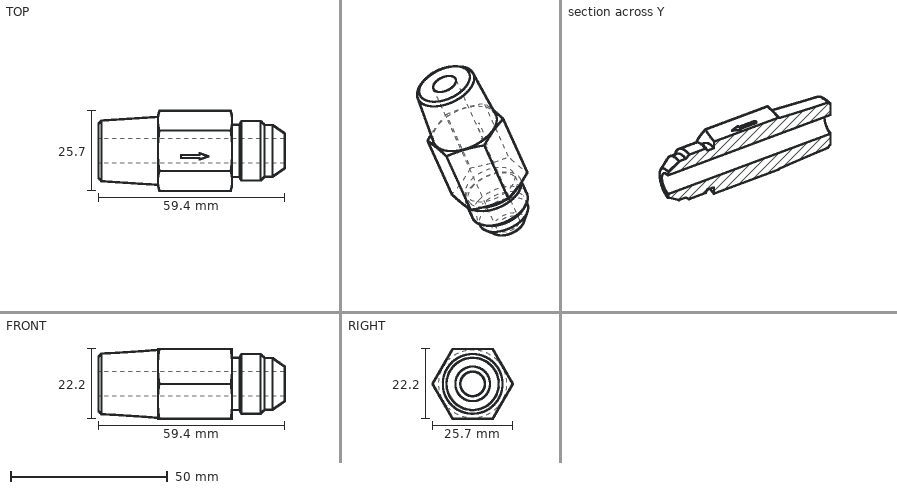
import cadquery as cq
import math

LENGTH = 59.44
TAPER_CHAMFER_END = 1.0
TAPER_END = 18.7
HEX_START = 18.95
HEX_END = 42.65
THREAD_START = 45.0
THREAD_FULL = 45.6
THREAD_END = 51.7
NOSE_START = 52.95
CONE_START = 55.45

TAPER_FACE_DIAMETER = 17.2
TAPER_SMALL_DIAMETER = 19.4
TAPER_LARGE_DIAMETER = 21.7
NECK_DIAMETER = 16.76
THREAD_DIAMETER = 19.05
NOSE_DIAMETER = 16.61
NOSE_TIP_DIAMETER = 11.05
BORE_DIAMETER = 7.77

ACROSS_FLATS = 22.225
ACROSS_CORNERS = ACROSS_FLATS / math.cos(math.radians(30))
HEX_CHAMFER_ANGLE = 15
HEX_CHAMFER_DIAMETER = 22.0

ARROW_START = 26.3
ARROW_HEAD_START = 32.3
ARROW_TIP = 35.1
ARROW_CENTRE_Y = -1.75
ARROW_SHAFT_WIDTH = 0.95
ARROW_HEAD_WIDTH = 2.0
ARROW_DEPTH = 0.1


def revolve_about_x(profile):
    """Revolve (x, diameter) stations into a solid closed along the X axis."""
    outline = [(x, diameter / 2) for x, diameter in profile]
    start_on_axis = (outline[0][0], 0)
    end_on_axis = (outline[-1][0], 0)
    return (
        cq.Workplane("XY")
        .polyline([start_on_axis] + outline + [end_on_axis])
        .close()
        .revolve(360, (0, 0, 0), (1, 0, 0))
    )


def tapered_end():
    return revolve_about_x([
        (0, TAPER_FACE_DIAMETER),
        (TAPER_CHAMFER_END, TAPER_SMALL_DIAMETER),
        (TAPER_END, TAPER_LARGE_DIAMETER),
        (HEX_START, TAPER_LARGE_DIAMETER),
    ])


def flared_end():
    return revolve_about_x([
        (HEX_END, NECK_DIAMETER),
        (THREAD_START, NECK_DIAMETER),
        (THREAD_FULL, THREAD_DIAMETER),
        (THREAD_END, THREAD_DIAMETER),
        (NOSE_START, NOSE_DIAMETER),
        (CONE_START, NOSE_DIAMETER),
        (LENGTH, NOSE_TIP_DIAMETER),
    ])


def hexagon():
    """Hexagonal body with its corners turned off at both ends."""
    prism = (
        cq.Workplane("YZ", origin=(HEX_START, 0, 0))
        .polygon(6, ACROSS_CORNERS)
        .extrude(HEX_END - HEX_START)
    )
    corner_depth = (ACROSS_CORNERS - HEX_CHAMFER_DIAMETER) / 2
    chamfer_length = corner_depth * math.tan(math.radians(HEX_CHAMFER_ANGLE))
    envelope = revolve_about_x([
        (HEX_START, HEX_CHAMFER_DIAMETER),
        (HEX_START + chamfer_length, ACROSS_CORNERS),
        (HEX_END - chamfer_length, ACROSS_CORNERS),
        (HEX_END, HEX_CHAMFER_DIAMETER),
    ])
    return prism.intersect(envelope)


def flow_arrow():
    """Arrow pointing to the flared end, sunk into the top flat."""
    half_shaft = ARROW_SHAFT_WIDTH / 2
    half_head = ARROW_HEAD_WIDTH / 2
    return (
        cq.Workplane("XY", origin=(0, ARROW_CENTRE_Y, ACROSS_FLATS / 2))
        .polyline([
            (ARROW_START, -half_shaft),
            (ARROW_HEAD_START, -half_shaft),
            (ARROW_HEAD_START, -half_head),
            (ARROW_TIP, 0),
            (ARROW_HEAD_START, half_head),
            (ARROW_HEAD_START, half_shaft),
            (ARROW_START, half_shaft),
        ])
        .close()
        .extrude(-ARROW_DEPTH)
    )


def bore():
    return cq.Workplane("YZ").circle(BORE_DIAMETER / 2).extrude(LENGTH)


result = hexagon().union(tapered_end()).union(flared_end()).cut(bore()).cut(flow_arrow())